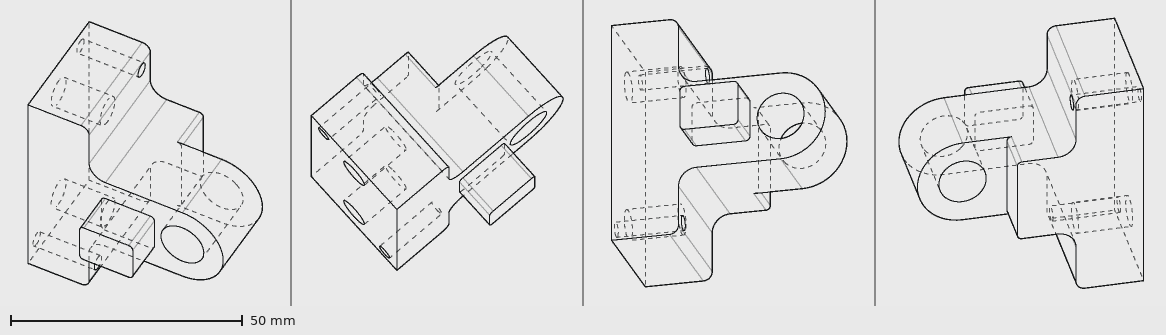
import cadquery as cq

plate_thickness = 15.0
plate_width = 28.0
plate_height = 50.0
plate_edge_radius = 2.0

overall_length = 47.85
arm_width = 18.0
arm_height = 20.0
end_radius = arm_height / 2
bore_x = overall_length - end_radius
bore_diameter = 10.5
root_radius = 4.0

shoulder_end_x = 28.0
shoulder_edge_radius = 1.0

peg_start_x = 18.0
peg_length = 13.0
peg_height = 10.0
peg_projection = 9.9
peg_edge_radius = 1.0

bolt_diameter = 6.75
bolt_depth = 12.0
bolt_offset_z = 16.0
dowel_diameter = 3.3
dowel_inset = 4.0


def block(start_x, length, start_y, width, height):
    """Box centred on Z = 0, starting at the given X and Y."""
    return (
        cq.Workplane("XY")
        .box(length, width, height, centered=(False, False, True))
        .translate((start_x, start_y, 0))
    )


def back_hole(y, z, diameter, depth):
    """Cylinder running along +X from the back face of the plate."""
    return cq.Workplane("YZ").center(y, z).circle(diameter / 2).extrude(depth)


def arm_cylinder(radius):
    """Cylinder across the arm, on the axis of its bore."""
    return cq.Workplane("XZ").center(bore_x, 0).circle(radius).extrude(-arm_width)


def make_plate_and_shoulder():
    plate = block(0, plate_thickness, 0, plate_width, plate_height)
    plate = plate.edges("|Y and >X").fillet(plate_edge_radius)
    shoulder = block(0, shoulder_end_x, 0, plate_width, arm_height)
    shoulder = shoulder.edges("|Y and >X").fillet(shoulder_edge_radius)
    margin = root_radius / 2
    body = plate.union(shoulder)
    root_corners = cq.selectors.BoxSelector(
        (plate_thickness - margin, 0, -arm_height / 2 - margin),
        (plate_thickness + margin, plate_width, arm_height / 2 + margin),
    )
    return body.edges("|Y").edges(root_corners).fillet(root_radius)


def make_arm():
    return block(0, bore_x, 0, arm_width, arm_height).union(arm_cylinder(end_radius))


def make_peg():
    peg = block(peg_start_x, peg_length, -peg_projection, peg_projection, peg_height)
    return peg.edges("|Y").fillet(peg_edge_radius)


result = make_plate_and_shoulder().union(make_arm()).union(make_peg())
result = result.cut(arm_cylinder(bore_diameter / 2))

for side in (-1, 1):
    bolt_z = side * bolt_offset_z
    result = result.cut(back_hole(plate_width / 2, bolt_z, bolt_diameter, bolt_depth))
    dowel_y = plate_width / 2 + side * (plate_width / 2 - dowel_inset)
    dowel_z = side * (plate_height / 2 - dowel_inset)
    result = result.cut(back_hole(dowel_y, dowel_z, dowel_diameter, plate_thickness))